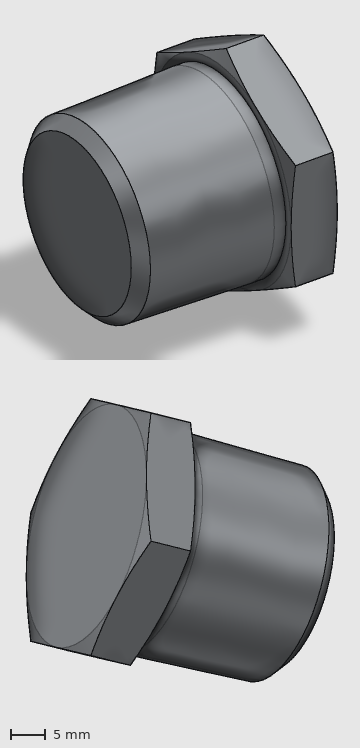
import cadquery as cq
import math

corner_width = 41.55
total_length = 33.0
head_length = 8.0
collar_length = 2.0
collar_diameter = 33.2
tip_diameter = 32.1
tip_chamfer = 2.0
head_chamfer_angle = 15.0

corner_radius = corner_width / 2
flat_radius = corner_radius * math.cos(math.radians(30))
head_chamfer_drop = (corner_radius - flat_radius) * math.tan(math.radians(head_chamfer_angle))
head_front = total_length - head_length


def revolve_about_y(profile):
    """Turn a closed (radius, y) outline about the Y axis."""
    return cq.Workplane("XY").polyline(profile).close().revolve(360, (0, 0, 0), (0, 1, 0))


def make_head():
    """Hexagon with corners on +Z and -Z, corners chamfered on both faces."""
    hexagon = (
        cq.Workplane("XZ", origin=(0, total_length, 0))
        .transformed(rotate=(0, 0, 90))
        .polygon(6, corner_width)
        .extrude(head_length)
    )
    chamfer_envelope = revolve_about_y([
        (0, head_front),
        (flat_radius, head_front),
        (corner_radius, head_front + head_chamfer_drop),
        (corner_radius, total_length - head_chamfer_drop),
        (flat_radius, total_length),
        (0, total_length),
    ])
    return hexagon.intersect(chamfer_envelope)


def make_shank():
    """Straight collar under the head, slight taper, then a chamfered tip."""
    tip_radius = tip_diameter / 2
    collar_radius = collar_diameter / 2
    return revolve_about_y([
        (0, 0),
        (tip_radius - tip_chamfer, 0),
        (tip_radius, tip_chamfer),
        (collar_radius, head_front - collar_length),
        (collar_radius, head_front),
        (0, head_front),
    ])


result = make_head().union(make_shank())